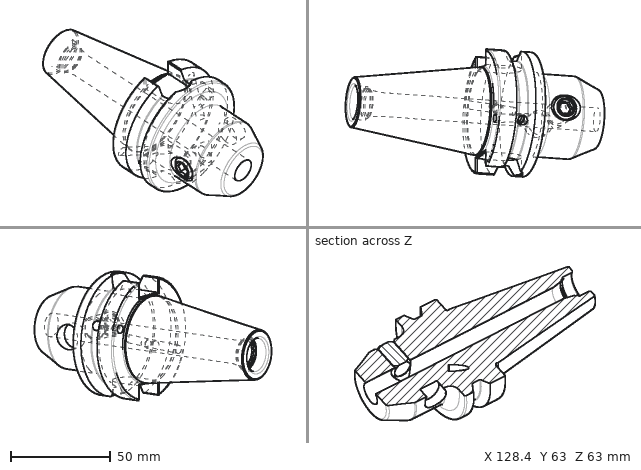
import cadquery as cq
import math

TOTAL_LENGTH = 128.4

TAPER_RATIO = 7 / 24
TAPER_LENGTH = 65.7
TAPER_END_DIAMETER = 44.5
SMALL_END_CHAMFER = 0.5
NECK_DIAMETER = 43.9
NECK_START = 66.6

FLANGE_DIAMETER = 63.0
FLANGE_START = 67.4
FLANGE_END = 92.2
FLANGE_FILLET = 0.8
GROOVE_CENTER = 81.9
GROOVE_TOP_WIDTH = 10.0
GROOVE_FLOOR_WIDTH = 4.8
GROOVE_FLOOR_DIAMETER = 52.9
GROOVE_FLOOR_FILLET = 0.5

SLOT_WIDTH = 16.0
SLOT_END = 88.6
SLOT_FLOOR_RADIUS = 22.6
SLOT_EDGE_CHAMFER = 0.6

NOSE_DIAMETER = 42.0
NOSE_CONE_START = 115.3
NOSE_SHOULDER_FILLET = 1.8
NOSE_CONE_ANGLE = 25.0
NOSE_END_FILLET = 1.5
NOSE_BLEND_RADIUS = 5.0

TOOL_BORE_DIAMETER = 12.0
THREAD_DIAMETER = 13.9
THREAD_RELIEF_DIAMETER = 15.2
RELIEF_END = 8.0
BORE_CONE_END = 14.1
PILOT_DIAMETER = 17.0
PILOT_DEPTH = 6.8
PILOT_FILLET = 1.0

SCREW_X = 105.9
SCREW_DIAMETER = 12.0
SCREW_HEAD_Y = -20.9
SCREW_TIP_Y = -4.6
SCREW_TOP_CHAMFER = 1.3
SCREW_TIP_CHAMFER = 1.3
SCREW_HOLE_MOUTH_DIAMETER = 15.2
HEX_SIDES = 6
HEX_ACROSS_FLATS = 5.9
HEX_DEPTH = 3.9
HEX_MOUTH_DIAMETER = 8.0

BALANCE_X = 103.1
BALANCE_DIAMETER = 12.8
BALANCE_DEPTH = 6.4

COOLANT_ROLL = 20.5
COOLANT_DIAMETER = 4.1
COOLANT_FACE_RADIUS = 26.5
COOLANT_TILT = 36.0
COOLANT_LENGTH = 25.7
PORT_DIAMETER = 4.9
PORT_END_RADIUS = 20.8

SELECT_MARGIN = 0.01

neck_radius = NECK_DIAMETER / 2
neck_fillet = FLANGE_START - NECK_START
flange_radius = FLANGE_DIAMETER / 2
slot_depth = flange_radius - SLOT_FLOOR_RADIUS
nose_radius = NOSE_DIAMETER / 2


def along_y(diameter, x, start_y, length):
    solid = cq.Solid.makeCylinder(diameter / 2, length, cq.Vector(x, start_y, 0), cq.Vector(0, 1, 0))
    return cq.Workplane(obj=solid)


def circle_at(x):
    """Selects the circular edges that lie in the plane at this X."""
    return cq.selectors.BoxSelector(
        (x - SELECT_MARGIN, -flange_radius, -flange_radius),
        (x + SELECT_MARGIN, flange_radius, flange_radius),
    )


def body_of_revolution():
    taper_end_radius = TAPER_END_DIAMETER / 2
    small_radius = taper_end_radius - TAPER_LENGTH * TAPER_RATIO / 2
    floor_radius = GROOVE_FLOOR_DIAMETER / 2
    nose_end_radius = nose_radius - (TOTAL_LENGTH - NOSE_CONE_START) * math.tan(math.radians(NOSE_CONE_ANGLE))
    profile = (
        cq.Workplane("XZ")
        .moveTo(0, 0)
        .lineTo(0, small_radius - SMALL_END_CHAMFER)
        .lineTo(SMALL_END_CHAMFER, small_radius + SMALL_END_CHAMFER * TAPER_RATIO / 2)
        .lineTo(TAPER_LENGTH, taper_end_radius)
        .lineTo(NECK_START, neck_radius)
        .radiusArc((FLANGE_START, neck_radius + neck_fillet), -neck_fillet)
        .lineTo(FLANGE_START, flange_radius - FLANGE_FILLET)
        .radiusArc((FLANGE_START + FLANGE_FILLET, flange_radius), FLANGE_FILLET)
        .lineTo(GROOVE_CENTER - GROOVE_TOP_WIDTH / 2, flange_radius)
        .lineTo(GROOVE_CENTER - GROOVE_FLOOR_WIDTH / 2, floor_radius)
        .lineTo(GROOVE_CENTER + GROOVE_FLOOR_WIDTH / 2, floor_radius)
        .lineTo(GROOVE_CENTER + GROOVE_TOP_WIDTH / 2, flange_radius)
        .lineTo(FLANGE_END - FLANGE_FILLET, flange_radius)
        .radiusArc((FLANGE_END, flange_radius - FLANGE_FILLET), FLANGE_FILLET)
        .lineTo(FLANGE_END, nose_radius + NOSE_BLEND_RADIUS)
        .radiusArc((FLANGE_END + NOSE_BLEND_RADIUS, nose_radius), -NOSE_BLEND_RADIUS)
        .lineTo(NOSE_CONE_START, nose_radius)
        .lineTo(TOTAL_LENGTH, nose_end_radius)
        .lineTo(TOTAL_LENGTH, 0)
        .close()
    )
    blank = profile.revolve(360, (0, 0, 0), (1, 0, 0))
    return (
        blank
        .faces(">X").edges().fillet(NOSE_END_FILLET)
        .edges(circle_at(NOSE_CONE_START)).fillet(NOSE_SHOULDER_FILLET)
        .edges(circle_at(GROOVE_CENTER - GROOVE_FLOOR_WIDTH / 2)).fillet(GROOVE_FLOOR_FILLET)
        .edges(circle_at(GROOVE_CENTER + GROOVE_FLOOR_WIDTH / 2)).fillet(GROOVE_FLOOR_FILLET)
    )


def axial_bore():
    tool = TOOL_BORE_DIAMETER / 2
    thread = THREAD_DIAMETER / 2
    relief = THREAD_RELIEF_DIAMETER / 2
    pilot = PILOT_DIAMETER / 2
    thread_start = RELIEF_END + relief - thread
    profile = (
        cq.Workplane("XZ")
        .lineTo(0, pilot + PILOT_FILLET)
        .radiusArc((PILOT_FILLET, pilot), -PILOT_FILLET)
        .lineTo(PILOT_DEPTH, pilot)
        .lineTo(PILOT_DEPTH, relief)
        .lineTo(RELIEF_END, relief)
        .lineTo(thread_start, thread)
        .lineTo(BORE_CONE_END, tool)
        .lineTo(TOTAL_LENGTH, tool)
        .lineTo(TOTAL_LENGTH, 0)
        .close()
    )
    return profile.revolve(360, (0, 0, 0), (1, 0, 0))


def drive_slot():
    half = SLOT_WIDTH / 2
    outline = (
        cq.Workplane("XY", origin=(0, 0, SLOT_FLOOR_RADIUS))
        .moveTo(FLANGE_START, -half)
        .lineTo(SLOT_END - half, -half)
        .threePointArc((SLOT_END, 0), (SLOT_END - half, half))
        .lineTo(FLANGE_START, half)
        .close()
    )
    bevel = (
        cq.Workplane("YZ", origin=(FLANGE_START, 0, flange_radius))
        .rect(SLOT_WIDTH + 2 * SLOT_EDGE_CHAMFER, 2 * (slot_depth + SLOT_EDGE_CHAMFER))
        .extrude(SLOT_EDGE_CHAMFER, taper=45)
    )
    return outline.extrude(slot_depth).union(bevel)


def slot_rim_edges(body):
    """Edges that the drive slots leave on the outer cylinder of the flange."""
    rim_height = math.sqrt(flange_radius**2 - (SLOT_WIDTH / 2) ** 2)

    def on_slot_rim(edge):
        box = edge.BoundingBox()
        runs_along_slot = box.xlen > SELECT_MARGIN and box.xmax < SLOT_END + SELECT_MARGIN
        within_slot = max(-box.ymin, box.ymax) < SLOT_WIDTH / 2 + SELECT_MARGIN
        on_rim = min(abs(box.zmin), abs(box.zmax)) > rim_height - SELECT_MARGIN
        return runs_along_slot and within_slot and on_rim

    return body.edges().filter(on_slot_rim)


def coolant_passage():
    """Slanted hole from the front face, met by a stepped radial port from the groove floor."""
    roll = math.radians(COOLANT_ROLL)
    tilt = math.radians(COOLANT_TILT)
    outward = cq.Vector(0, math.cos(roll), math.sin(roll))
    axis = cq.Vector(math.cos(tilt), 0, 0) - outward * math.sin(tilt)
    mouth = cq.Vector(FLANGE_START, 0, 0) + outward * COOLANT_FACE_RADIUS
    groove = cq.Vector(GROOVE_CENTER, 0, 0)
    meeting_radius = COOLANT_FACE_RADIUS - (GROOVE_CENTER - FLANGE_START) * math.tan(tilt)

    radius = COOLANT_DIAMETER / 2
    slanted = cq.Solid.makeCylinder(
        radius, COOLANT_LENGTH + COOLANT_DIAMETER, mouth - axis * COOLANT_DIAMETER, axis)
    link = cq.Solid.makeCylinder(
        radius, PORT_END_RADIUS - meeting_radius, groove + outward * meeting_radius, outward)
    port = cq.Solid.makeCylinder(
        PORT_DIAMETER / 2, flange_radius - PORT_END_RADIUS, groove + outward * PORT_END_RADIUS, outward)
    return cq.Workplane(obj=slanted).union(cq.Workplane(obj=link)).union(cq.Workplane(obj=port))


def screw_hole():
    mouth = SCREW_HOLE_MOUTH_DIAMETER / 2
    chamfer = cq.Solid.makeCone(
        mouth, 0, mouth, cq.Vector(SCREW_X, -nose_radius, 0), cq.Vector(0, 1, 0))
    return along_y(SCREW_DIAMETER, SCREW_X, -nose_radius, nose_radius).union(cq.Workplane(obj=chamfer))


def make_holder():
    holder = body_of_revolution().cut(axial_bore())
    for angle in (0, 180):
        holder = holder.cut(drive_slot().rotate((0, 0, 0), (1, 0, 0), angle))
    holder = slot_rim_edges(holder).chamfer(SLOT_EDGE_CHAMFER)
    for angle in (0, 180):
        holder = holder.cut(coolant_passage().rotate((0, 0, 0), (1, 0, 0), angle))
    holder = holder.cut(screw_hole())
    return holder.cut(along_y(BALANCE_DIAMETER, BALANCE_X, nose_radius - BALANCE_DEPTH, BALANCE_DEPTH))


def make_screw():
    blank = (
        along_y(SCREW_DIAMETER, SCREW_X, SCREW_HEAD_Y, SCREW_TIP_Y - SCREW_HEAD_Y)
        .faces("<Y").chamfer(SCREW_TOP_CHAMFER)
        .faces(">Y").chamfer(SCREW_TIP_CHAMFER)
    )
    hexagon = (
        cq.Workplane("XZ", origin=(SCREW_X, SCREW_HEAD_Y, 0))
        .polygon(HEX_SIDES, HEX_ACROSS_FLATS, circumscribed=True)
        .extrude(-HEX_DEPTH)
        .rotate((SCREW_X, 0, 0), (SCREW_X, 1, 0), 180 / HEX_SIDES)
    )
    mouth = HEX_MOUTH_DIAMETER / 2
    socket = HEX_ACROSS_FLATS / 2
    lead_in = cq.Solid.makeCone(
        mouth, socket, mouth - socket, cq.Vector(SCREW_X, SCREW_HEAD_Y, 0), cq.Vector(0, 1, 0))
    return blank.cut(hexagon).cut(cq.Workplane(obj=lead_in))


holder = make_holder()
screw = make_screw()
result = cq.Compound.makeCompound([holder.val(), screw.val()])